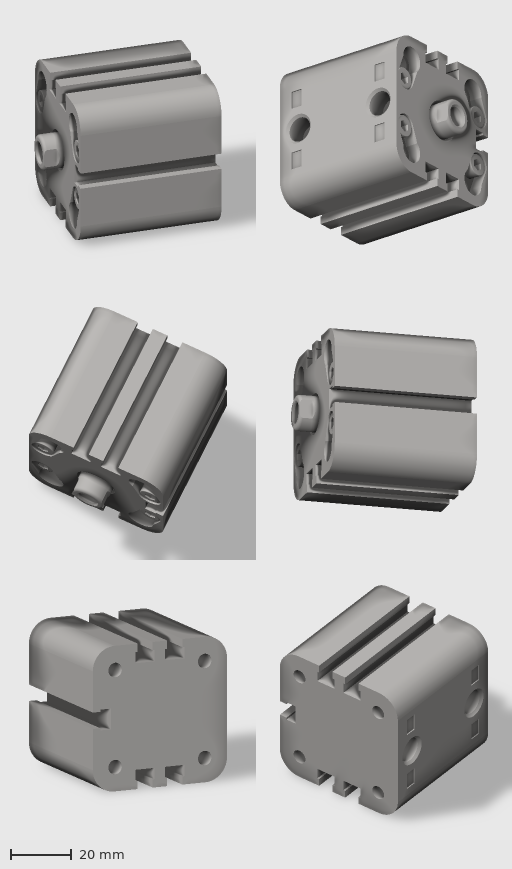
import cadquery as cq
import math

BODY_WIDTH = 49.0
OVERALL_LENGTH = 55.2
ROD_LENGTH = 6.45
BODY_LENGTH = OVERALL_LENGTH - ROD_LENGTH
CORNER_RADIUS = 7.9
HALF_WIDTH = BODY_WIDTH / 2
SIDES = (-1, 1)

SLOT_MOUTH_WIDTH = 5.5
SLOT_MOUTH_DEPTH = 2.75
SLOT_INNER_WIDTH = 7.0
SLOT_DEPTH = 6.55
SLOT_OFFSET = 5.4

HOLE_OFFSET = 16.35
HOLE_DIAMETER = 4.9
HOLE_MOUTH_DIAMETER = 6.3
HOLE_POCKET_DIAMETER = 9.0
SCREW_X = 19.55
SCREW_Z = 8.6
SCREW_POCKET_DIAMETER = 8.05
POCKET_DEPTH = 4.65
HEAD_DIAMETER = 7.5
HEAD_RECESS = 0.5
HEAD_EDGE_RADIUS = 0.2
HEX_ACROSS_FLATS = 3.7
HEX_DEPTH = 2.5

PORT_DIAMETER = 8.55
PORT_MOUTH_DIAMETER = 10.4
PORT_DEPTH = 8.0
PORT_END_DISTANCE = 7.7
PASSAGE_DIAMETER = 2.5
PASSAGE_DEPTH = 2.75
PASSAGE_END_DISTANCE = 9.65

LABEL_LENGTH = 4.15
LABEL_HEIGHT = 6.05
LABEL_DEPTH = 0.4
LABEL_END_DISTANCE = 7.0
LABEL_Z = 11.0

ROD_DIAMETER = 12.0
ROD_TIP_RADIUS = 1.1
ROD_ACROSS_FLATS = 10.2
FLAT_LENGTH = 4.35
RECESS_DIAMETER = 12.5
RECESS_MOUTH_DIAMETER = 13.95
RECESS_DEPTH = 2.75
THREAD_DIAMETER = 6.6
THREAD_MOUTH_DIAMETER = 7.95
THREAD_DEPTH = 8.85
THREAD_END_DIAMETER = 1.25
DRILL_POINT_ANGLE = 118.0


def cylinder(x, z, front, length, diameter):
    """Cylinder along Y, running from Y = front toward +Y."""
    return cq.Workplane("XZ", origin=(x, front, z)).circle(diameter / 2).extrude(-length)


def cone(origin, direction, start_diameter, end_diameter, length):
    """Cone frustum that starts at the origin and runs along the direction."""
    solid = cq.Solid.makeCone(
        start_diameter / 2, end_diameter / 2, length, cq.Vector(*origin), cq.Vector(*direction)
    )
    return cq.Workplane(obj=solid)


def countersink(origin, direction, mouth_diameter, hole_diameter):
    """45 degree chamfer at the mouth of a hole."""
    depth = (mouth_diameter - hole_diameter) / 2
    return cone(origin, direction, mouth_diameter, hole_diameter, depth)


def body_block():
    block = cq.Workplane("XZ").rect(BODY_WIDTH, BODY_WIDTH).extrude(-BODY_LENGTH)
    return block.edges("|Y").fillet(CORNER_RADIUS)


def t_slot(offset, turn):
    """T-slot along the whole body, opening at the top before it is turned about Y."""
    half_mouth = SLOT_MOUTH_WIDTH / 2
    half_inner = SLOT_INNER_WIDTH / 2
    step = HALF_WIDTH - SLOT_MOUTH_DEPTH
    floor = HALF_WIDTH - SLOT_DEPTH
    slot = (
        cq.Workplane("XZ")
        .polyline([
            (offset - half_mouth, HALF_WIDTH),
            (offset - half_mouth, step),
            (offset - half_inner, step),
            (offset - half_inner, floor),
            (offset + half_inner, floor),
            (offset + half_inner, step),
            (offset + half_mouth, step),
            (offset + half_mouth, HALF_WIDTH),
        ])
        .close()
        .extrude(-BODY_LENGTH)
    )
    return slot.rotate((0, 0, 0), (0, 1, 0), turn)


def corner_cut(side_x, side_z):
    """Mounting hole with its pocket, joined by a slot to the pocket of the screw head."""
    hole_x = side_x * HOLE_OFFSET
    hole_z = side_z * HOLE_OFFSET
    screw_x = side_x * SCREW_X
    screw_z = side_z * SCREW_Z
    run_x = hole_x - screw_x
    run_z = hole_z - screw_z
    middle = ((hole_x + screw_x) / 2, (hole_z + screw_z) / 2)
    distance = math.hypot(run_x, run_z)
    link = (
        cq.Workplane("XZ")
        .center(*middle)
        .transformed(rotate=(0, 0, math.degrees(math.atan2(run_z, run_x))))
        .slot2D(distance + SCREW_POCKET_DIAMETER, SCREW_POCKET_DIAMETER)
        .extrude(-POCKET_DEPTH)
    )
    return (
        link
        .union(cylinder(hole_x, hole_z, 0, POCKET_DEPTH, HOLE_POCKET_DIAMETER))
        .union(cylinder(hole_x, hole_z, 0, BODY_LENGTH, HOLE_DIAMETER))
        .union(countersink((hole_x, POCKET_DEPTH, hole_z), (0, 1, 0), HOLE_MOUTH_DIAMETER, HOLE_DIAMETER))
    )


def screw_head(side_x, side_z):
    """Hexagon socket screw head standing on the pocket floor."""
    x = side_x * SCREW_X
    z = side_z * SCREW_Z
    head = cylinder(x, z, HEAD_RECESS, POCKET_DEPTH - HEAD_RECESS, HEAD_DIAMETER)
    head = head.faces("<Y").edges().fillet(HEAD_EDGE_RADIUS)
    socket = (
        cq.Workplane("XZ", origin=(x, HEAD_RECESS, z))
        .transformed(rotate=(0, 0, 90))
        .polygon(6, HEX_ACROSS_FLATS / math.cos(math.pi / 6))
        .extrude(-HEX_DEPTH)
    )
    return head.cut(socket)


def from_end(distance, end):
    """Y place at a distance from the front end (-1) or the rear end (+1) of the body."""
    return distance if end < 0 else BODY_LENGTH - distance


def port_cut(end):
    port_y = from_end(PORT_END_DISTANCE, end)
    passage_y = from_end(PASSAGE_END_DISTANCE, end)
    port = (
        cq.Workplane("YZ", origin=(-HALF_WIDTH, port_y, 0))
        .circle(PORT_DIAMETER / 2)
        .extrude(PORT_DEPTH)
    )
    passage = (
        cq.Workplane("YZ", origin=(-HALF_WIDTH, passage_y, 0))
        .circle(PASSAGE_DIAMETER / 2)
        .extrude(PORT_DEPTH + PASSAGE_DEPTH)
    )
    mouth = countersink((-HALF_WIDTH, port_y, 0), (1, 0, 0), PORT_MOUTH_DIAMETER, PORT_DIAMETER)
    return port.union(passage).union(mouth)


def label_cut(end, side_z):
    return (
        cq.Workplane("YZ", origin=(-HALF_WIDTH, from_end(LABEL_END_DISTANCE, end), side_z * LABEL_Z))
        .rect(LABEL_LENGTH, LABEL_HEIGHT)
        .extrude(LABEL_DEPTH)
    )


def rod_recess():
    mouth = countersink((0, 0, 0), (0, 1, 0), RECESS_MOUTH_DIAMETER, RECESS_DIAMETER)
    return cylinder(0, 0, 0, RECESS_DEPTH, RECESS_DIAMETER).union(mouth)


def flat_cut(side_x):
    """Wrench flat at the rod tip, running out to the rod surface at 45 degrees."""
    flat_x = ROD_ACROSS_FLATS / 2
    outer_x = ROD_DIAMETER
    flat_end = FLAT_LENGTH - ROD_LENGTH
    return (
        cq.Workplane("XY")
        .polyline([
            (side_x * flat_x, -ROD_LENGTH),
            (side_x * flat_x, flat_end),
            (side_x * outer_x, flat_end + outer_x - flat_x),
            (side_x * outer_x, -ROD_LENGTH),
        ])
        .close()
        .extrude(ROD_DIAMETER / 2, both=True)
    )


def piston_rod():
    rod = cylinder(0, 0, -ROD_LENGTH, ROD_LENGTH + RECESS_DEPTH, ROD_DIAMETER)
    rod = rod.faces("<Y").edges().fillet(ROD_TIP_RADIUS)
    for side_x in SIDES:
        rod = rod.cut(flat_cut(side_x))
    return rod


def thread_cut():
    """Core hole in the rod with a chamfered mouth and a blunt drill point."""
    drill_slope = math.tan(math.radians(DRILL_POINT_ANGLE / 2))
    point_length = (THREAD_DIAMETER - THREAD_END_DIAMETER) / 2 / drill_slope
    point_start = THREAD_DEPTH - ROD_LENGTH
    core = cylinder(0, 0, -ROD_LENGTH, THREAD_DEPTH, THREAD_DIAMETER)
    mouth = countersink((0, -ROD_LENGTH, 0), (0, 1, 0), THREAD_MOUTH_DIAMETER, THREAD_DIAMETER)
    point = cone((0, point_start, 0), (0, 1, 0), THREAD_DIAMETER, THREAD_END_DIAMETER, point_length)
    return core.union(mouth).union(point)


result = body_block()

for slot_turn in (0, 180):
    for slot_side in SIDES:
        result = result.cut(t_slot(slot_side * SLOT_OFFSET, slot_turn))
result = result.cut(t_slot(0, 90))

for corner_x in SIDES:
    for corner_z in SIDES:
        result = result.cut(corner_cut(corner_x, corner_z)).union(screw_head(corner_x, corner_z))

for body_end in SIDES:
    result = result.cut(port_cut(body_end))
    for label_side in SIDES:
        result = result.cut(label_cut(body_end, label_side))

result = result.cut(rod_recess()).union(piston_rod()).cut(thread_cut())